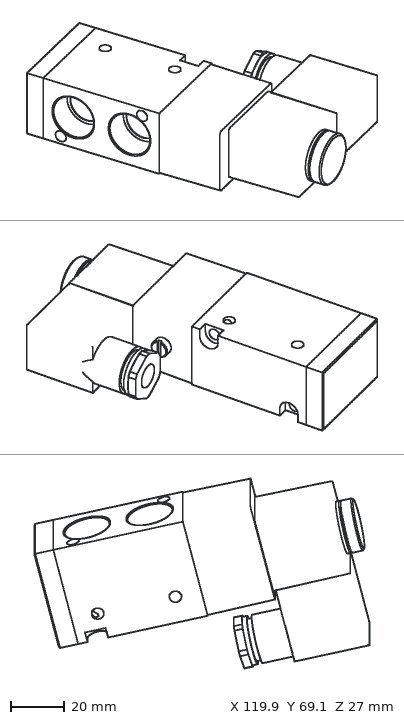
import cadquery as cq
import math


total_length = 119.9
overall_width = 69.1
valve_height = 27.0
valve_width = 40.0
draft_angle = 0.5

cap_length = 7.4
body_end = 57.4
cap_edge_chamfer = 0.5

port_positions = (20.4, 44.6)
port_mouth_radius = 9.1
port_thread_radius = 8.6
port_root_radius = 8.4
port_seat_radius = 7.1
port_mouth_depth = 0.4
port_thread_depth = 10.2
port_seat_depth = 10.4

mount_hole_radius = 2.3
side_hole_positions = ((15.0, -10.1), (50.0, 10.1))
counterbore_radius = 4.0
counterbore_depth = 4.1
top_hole_x = (17.5, 47.5)
top_hole_y = 29.5

pilot_end = 83.5
long_edge_radius = 1.0
screw_x = 70.0
screw_radius = 3.5
screw_top = 43.2
screw_chamfer = 0.4
screw_slot_width = 1.4
screw_slot_depth = 1.1

coil_end = 113.4
coil_front = 7.0
coil_back = 36.9
coil_height = 22.0
end_edge_radius = 0.6
nut_y = 22.4
nut_radius = 10.1
nut_neck_radius = 7.4
nut_flange_end = 114.6
nut_head_start = 115.3
nut_chamfer = 0.6

plug_start = 84.3
plug_end = 113.3
plug_back = 67.5
plug_height = 21.3
plug_overlap = 2.4
gland_radius = 9.4
gland_y = overall_width - gland_radius
gland_hex_start = 64.9
gland_collar_start = 68.1
gland_groove_start = 69.9
gland_barrel_start = 71.8
gland_groove_radius = 8.2
gland_hex_flats = 18.0
gland_hex_corner_radius = 9.8
gland_hole_radius = 4.7
gland_tail_angle = 15.0


def box_between(x_start, x_end, y_start, y_end, height):
    """Box centred on Z = 0, given by its ends along X and Y."""
    length = x_end - x_start
    width = y_end - y_start
    box = cq.Workplane("XY").box(length, width, height, centered=(False, False, True))
    return box.translate((x_start, y_start, 0))


def tapered_block(x_start, x_end, y_start, y_end, height):
    """Block whose four long sides draw in towards +X by the draft angle."""
    plane = cq.Workplane("YZ", origin=(x_start, (y_start + y_end) / 2, 0))
    return plane.rect(y_end - y_start, height).extrude(x_end - x_start, taper=draft_angle)


def disc_x(x_start, x_end, y, radius):
    """Cylinder along X with its axis at Z = 0."""
    return cq.Workplane("YZ", origin=(x_start, y, 0)).circle(radius).extrude(x_end - x_start)


def make_end_cap():
    cap = box_between(0, cap_length, 0, valve_width, valve_height)
    return cap.faces("<X").edges().chamfer(cap_edge_chamfer)


def make_port(x):
    """Cutter for one port: countersink, tapered thread length, then a shallow round seat in the floor."""
    profile = [
        (0, 0),
        (port_mouth_radius, 0),
        (port_thread_radius, port_mouth_depth),
        (port_root_radius, port_thread_depth),
        (port_seat_radius, port_thread_depth),
        (port_seat_radius, port_seat_depth),
        (0, port_seat_depth),
    ]
    port = cq.Workplane("XY").polyline(profile).close().revolve(360, (0, 0, 0), (0, 1, 0))
    return port.translate((x, 0, 0))


def make_side_hole(x, z):
    """Cutter for a hole along Y with a round-ended counterbore open to the nearer Z face."""
    back_plane = cq.Workplane("XZ", origin=(x, valve_width, z))
    hole = back_plane.circle(mount_hole_radius).extrude(valve_width)
    counterbore = back_plane.circle(counterbore_radius).extrude(counterbore_depth)
    outward = math.copysign(valve_height / 2, z)
    opening = back_plane.center(0, outward / 2).rect(2 * counterbore_radius, abs(outward))
    return hole.union(counterbore).union(opening.extrude(counterbore_depth))


def make_valve_body():
    body = box_between(cap_length, body_end, 0, valve_width, valve_height)
    for x in port_positions:
        body = body.cut(make_port(x))
    for x, z in side_hole_positions:
        body = body.cut(make_side_hole(x, z))
    top_holes = cq.Workplane("XY", origin=(0, 0, -valve_height / 2))
    top_holes = top_holes.pushPoints([(x, top_hole_y) for x in top_hole_x])
    return body.cut(top_holes.circle(mount_hole_radius).extrude(valve_height))


def make_override_screw():
    root_y = valve_width - 2 * long_edge_radius
    screw = cq.Workplane("XZ", origin=(screw_x, screw_top, 0)).circle(screw_radius)
    screw = screw.extrude(screw_top - root_y).faces(">Y").chamfer(screw_chamfer)
    slot = box_between(
        screw_x - screw_slot_width / 2,
        screw_x + screw_slot_width / 2,
        screw_top - screw_slot_depth,
        screw_top,
        2 * screw_radius,
    )
    return screw.cut(slot)


def make_coil():
    coil = tapered_block(pilot_end, coil_end, coil_front, coil_back, coil_height)
    front_edges = coil.faces("<Y").edges("not(|Z)")
    coil = front_edges.fillet(long_edge_radius)
    return coil.faces(">X").edges().fillet(end_edge_radius)


def make_nut():
    flange = disc_x(coil_end, nut_flange_end, nut_y, nut_radius)
    neck = disc_x(nut_flange_end, nut_head_start, nut_y, nut_neck_radius)
    head = disc_x(nut_head_start, total_length, nut_y, nut_radius)
    head = head.faces(">X").chamfer(nut_chamfer)
    return flange.union(neck).union(head)


def make_solenoid():
    """Pilot block, override screw, coil and end nut as one body."""
    pilot = tapered_block(body_end, pilot_end, 0, valve_width, valve_height)
    pilot = pilot.edges("not(|Y or |Z)").fillet(long_edge_radius)
    return pilot.union(make_override_screw()).union(make_coil()).union(make_nut())


def make_gland():
    """Hexagon, collar, groove and barrel, ending in a cone that dies into the plug."""
    hexagon = cq.Workplane("YZ", origin=(gland_hex_start, gland_y, 0))
    corner_diameter = gland_hex_flats / math.cos(math.pi / 6)
    hexagon = hexagon.transformed(rotate=(0, 0, 90)).polygon(6, corner_diameter)
    hexagon = hexagon.extrude(gland_collar_start - gland_hex_start)
    hexagon = hexagon.intersect(
        disc_x(gland_hex_start, gland_collar_start, gland_y, gland_hex_corner_radius)
    )
    collar = disc_x(gland_collar_start, gland_groove_start, gland_y, gland_radius)
    groove = disc_x(gland_groove_start, gland_barrel_start, gland_y, gland_groove_radius)
    barrel = disc_x(gland_barrel_start, plug_start, gland_y, gland_radius)
    tail_end_radius = plug_back - end_edge_radius - gland_y
    tail_length = (gland_radius - tail_end_radius) / math.tan(math.radians(gland_tail_angle))
    tail = cq.Workplane("YZ", origin=(plug_start, gland_y, 0)).circle(gland_radius)
    tail = tail.extrude(tail_length, taper=gland_tail_angle)
    return hexagon.union(collar).union(groove).union(barrel).union(tail)


def make_plug():
    """Plug housing and cable gland, fitted against the drafted side of the coil."""
    plug = box_between(plug_start, plug_end, coil_back - plug_overlap, plug_back, plug_height)
    plug = plug.faces("|Z").edges("not(<Y)").fillet(end_edge_radius)
    plug = plug.union(make_gland())
    cable_hole = disc_x(gland_hex_start, plug_start, gland_y, gland_hole_radius)
    coil_space = tapered_block(pilot_end, coil_end, coil_front, coil_back, coil_height)
    return plug.cut(cable_hole).cut(coil_space)


end_cap = make_end_cap()
valve_body = make_valve_body()
solenoid = make_solenoid()
plug = make_plug()

result = cq.Compound.makeCompound([end_cap.val(), valve_body.val(), solenoid.val(), plug.val()])